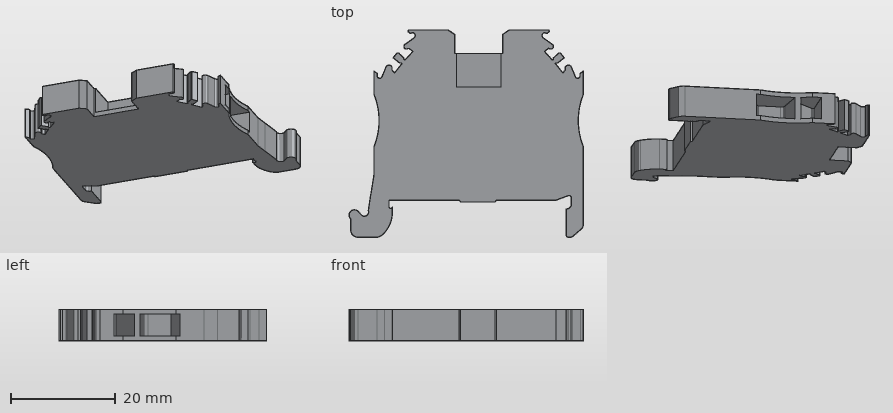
import cadquery as cq
import math

LENGTH = 44.7
HEIGHT = 39.55
THICKNESS = 6.0
WALL = 0.9

HALF_BODY = 20.0
MID_X = LENGTH - HALF_BODY
BODY_LEFT = MID_X - HALF_BODY

NOTCH_HALF = 4.55
NOTCH_FLOOR = 35.1
NOTCH_CHAMFER_X = 1.3
NOTCH_CHAMFER_Y = 0.85
POCKET_HALF = 4.25
POCKET_END = 28.7

GRIP_TOP = 27.3
GRIP_BOTTOM = 17.25
GRIP_DEPTH = 1.0

HIP = 11.95

RAIL_FACE = 7.05
PAD_DROP = 0.3
PAD_LEFT = 21.0
PAD_RIGHT = 28.12
PAD_RAMP = 0.25

TIP_RADIUS = 1.05
TIP_CENTER_Y = 4.25
HOOK_LEFT = 0.3
HOOK_NECK_TOP = 3.17
HOOK_CORNER = 1.45
HOOK_RIGHT = 8.25
HOOK_FLAT_END = 5.35
HOOK_HEEL = (6.8, 0.9)
NECK_START = (4.35, 9.4)
NECK_END = (3.65, 5.15)
SADDLE_END = (2.32, 4.35)
HOOK_RECESS = 7.65
HOOK_LIP = 5.75

FOOT_LEFT = 41.4
FOOT_RECESS = 42.35
FOOT_RECESS_TOP = 7.6
FOOT_RECESS_BOTTOM = 6.13
FOOT_SHOULDER = 5.45
FOOT_RAMP_START = 39.45
FOOT_RAMP_END = (41.85, 7.95)
FOOT_CORNER = 0.45
FOOT_FLAT_END = 42.3
BEVEL_START = (42.6, 0.15)
BEVEL_END = (44.17, 1.48)
FOOT_SIDE_BOTTOM = 2.6

CAVITY_DEPTH = 7.82
CLAMP_TOP = 29.05
CLAMP_BOTTOM = 25.2
CLAMP_END_WIDTH = 0.4
WIRE_TOP = 24.1
WIRE_BOTTOM = 16.5
WIRE_CORNER_RADIUS = 0.7
WIRE_END_TOP = 23.2
WIRE_END_BOTTOM = 18.2
WIRE_TAPER = 2.7

SHOULDER_START = (13.35, HEIGHT)
SHOULDER = [
    [(13.5, 39.25)],
    [(13.0, 38.85)],
    [(12.6, 39.05)],
    [(12.1, 38.55), (12.4, 38.0)],
    [(14.1, 36.8)],
    [(14.25, 36.5), (13.73, 35.9)],
    [(13.32, 36.05)],
    [(12.55, 35.45)],
    [(13.9, 34.0)],
    [(14.15, 33.9), (14.2, 34.2)],
    [(15.3, 35.2)],
    [(15.55, 35.2)],
    [(16.3, 34.25)],
    [(15.1, 33.25)],
    [(14.6, 33.17)],
    [(16.05, 31.4)],
    [(16.5, 31.92)],
    [(16.5, 32.45)],
    [(17.1, 32.85), (17.7, 32.45)],
    [(18.4, 30.7)],
    [(18.9, 30.35), (19.3, 30.65)],
    [(19.3, 31.25)],
    [(HALF_BODY, 31.75)],
]


def mirrored(left_side):
    """Copy a left-hand solid to the right-hand side of the body."""
    return left_side.mirror("YZ", (MID_X, 0, 0))


def upper_half():
    """Left half of the body above the hip."""
    def place(point):
        return (MID_X - point[0], point[1])

    profile = (
        cq.Workplane("XY")
        .moveTo(MID_X, HIP)
        .lineTo(MID_X, NOTCH_FLOOR)
        .lineTo(MID_X - NOTCH_HALF, NOTCH_FLOOR)
        .lineTo(MID_X - NOTCH_HALF, HEIGHT - NOTCH_CHAMFER_Y)
        .lineTo(MID_X - NOTCH_HALF - NOTCH_CHAMFER_X, HEIGHT)
        .lineTo(*place(SHOULDER_START))
    )
    for step in SHOULDER:
        if len(step) == 1:
            profile = profile.lineTo(*place(step[0]))
        else:
            profile = profile.threePointArc(place(step[0]), place(step[1]))
    grip_middle = (BODY_LEFT + GRIP_DEPTH, (GRIP_TOP + GRIP_BOTTOM) / 2)
    return (
        profile
        .lineTo(BODY_LEFT, GRIP_TOP)
        .threePointArc(grip_middle, (BODY_LEFT, GRIP_BOTTOM))
        .lineTo(BODY_LEFT, HIP)
        .close()
        .extrude(THICKNESS)
    )


def lower_body():
    """Body below the hip, with the hook foot, the underside and the straight foot."""
    tip_reach = TIP_RADIUS * math.sqrt(0.5)
    pad_face = RAIL_FACE - PAD_DROP
    profile = cq.Workplane("XY").moveTo(BODY_LEFT, HIP)
    profile = (
        profile
        .lineTo(*NECK_START)
        .threePointArc((4.0, 7.25), NECK_END)
        .threePointArc((3.05, 4.05), SADDLE_END)
        .lineTo(TIP_RADIUS + tip_reach, TIP_CENTER_Y + tip_reach)
        .threePointArc((0, TIP_CENTER_Y), (TIP_RADIUS - tip_reach, TIP_CENTER_Y - tip_reach))
        .lineTo(HOOK_LEFT, HOOK_NECK_TOP)
    )
    profile = (
        profile
        .lineTo(HOOK_LEFT, HOOK_CORNER)
        .radiusArc((HOOK_LEFT + HOOK_CORNER, 0), -HOOK_CORNER)
        .lineTo(HOOK_FLAT_END, 0)
        .threePointArc((6.13, 0.3), HOOK_HEEL)
        .threePointArc((7.8, 2.4), (HOOK_RIGHT, 4.35))
        .lineTo(HOOK_RIGHT, HOOK_LIP)
        .threePointArc((7.95, 5.55), (HOOK_RECESS, HOOK_LIP))
        .lineTo(HOOK_RECESS, RAIL_FACE)
    )
    profile = (
        profile
        .lineTo(PAD_LEFT, RAIL_FACE)
        .lineTo(PAD_LEFT + PAD_RAMP, pad_face)
        .lineTo(PAD_RIGHT - PAD_RAMP, pad_face)
        .lineTo(PAD_RIGHT, RAIL_FACE)
        .lineTo(FOOT_RAMP_START, RAIL_FACE)
    )
    profile = (
        profile
        .lineTo(*FOOT_RAMP_END)
        .threePointArc((42.2, 7.9), (FOOT_RECESS, FOOT_RECESS_TOP))
        .lineTo(FOOT_RECESS, FOOT_RECESS_BOTTOM)
        .threePointArc((42.03, 5.65), (FOOT_LEFT, FOOT_SHOULDER))
        .lineTo(FOOT_LEFT, FOOT_CORNER)
        .threePointArc((41.55, 0.15), (FOOT_LEFT + FOOT_CORNER, 0))
        .lineTo(FOOT_FLAT_END, 0)
        .lineTo(*BEVEL_START)
        .lineTo(*BEVEL_END)
        .threePointArc((44.58, 1.95), (LENGTH, FOOT_SIDE_BOTTOM))
        .lineTo(LENGTH, HIP)
    )
    return profile.close().extrude(THICKNESS)


def pocket():
    """Pocket below the notch, open to the notch and to the top face."""
    return cq.Workplane("XY").box(
        2 * POCKET_HALF,
        NOTCH_FLOOR - POCKET_END,
        THICKNESS,
        centered=(True, False, False),
    ).translate((MID_X, POCKET_END, WALL))


def cavity_cutter(outline):
    """Cutter for a left-hand cavity between the two walls; outline is (depth from flank, Y)."""
    points = [(BODY_LEFT + depth, y) for depth, y in outline]
    return (
        cq.Workplane("XY", origin=(0, 0, WALL))
        .polyline(points)
        .close()
        .extrude(THICKNESS - 2 * WALL)
    )


def clamp_cavity():
    """Upper cavity; a 45 degree ramp narrows it towards its end."""
    ramp_top = CLAMP_TOP - CLAMP_END_WIDTH
    ramp_start = CAVITY_DEPTH - (ramp_top - CLAMP_BOTTOM)
    return cavity_cutter([
        (0, CLAMP_TOP),
        (CAVITY_DEPTH, CLAMP_TOP),
        (CAVITY_DEPTH, ramp_top),
        (ramp_start, CLAMP_BOTTOM),
        (0, CLAMP_BOTTOM),
    ])


def wire_cavity():
    """Lower cavity; its upper side leans inwards and both sides narrow at the end."""
    cutter = cavity_cutter([
        (0, WIRE_TOP),
        (GRIP_DEPTH, WIRE_TOP),
        (CAVITY_DEPTH, WIRE_END_TOP),
        (CAVITY_DEPTH, WIRE_END_BOTTOM),
        (CAVITY_DEPTH - WIRE_TAPER, WIRE_BOTTOM),
        (0, WIRE_BOTTOM),
    ])
    upper_corner = (BODY_LEFT + CAVITY_DEPTH, WIRE_END_TOP, THICKNESS / 2)
    return cutter.edges(cq.NearestToPointSelector(upper_corner)).fillet(WIRE_CORNER_RADIUS)


half = upper_half()
body = half.union(mirrored(half)).union(lower_body()).cut(pocket())
for cavity in (clamp_cavity(), wire_cavity()):
    body = body.cut(cavity).cut(mirrored(cavity))
result = body.clean()